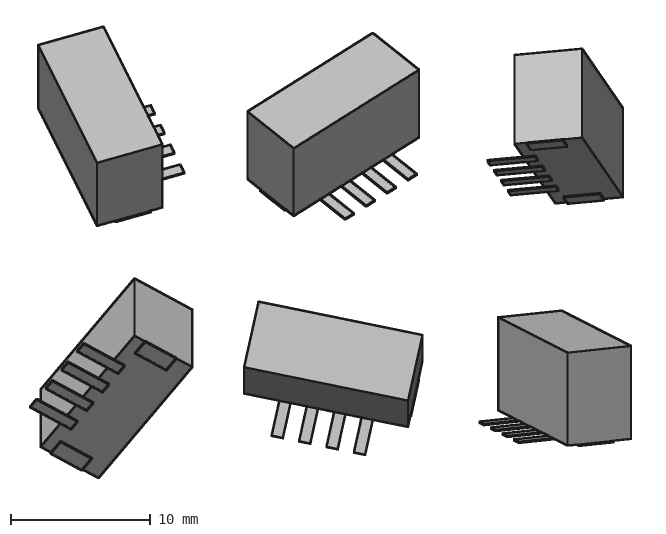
import cadquery as cq

overall_width = 12.08
overall_depth = 7.65
overall_height = 6.95

sheet_thickness = 0.1
housing_width = 12.0
housing_depth = 5.0
housing_height = overall_height - sheet_thickness

pad_width = 1.27
pad_depth = 2.69
pad_front = 1.41
pad_back = pad_front + pad_depth

pin_count = 4
pin_pitch = 2.0
pin_width = 0.83
pin_front = pad_back
pin_length = overall_depth - pin_front


def make_housing():
    """Block centred on X, with its front on Y = 0, resting on the sheet metal."""
    return cq.Workplane("XY").workplane(offset=sheet_thickness).box(
        housing_width, housing_depth, housing_height, centered=(True, False, False)
    )


def make_strip(center_x, front_y, width, length):
    """Flat sheet-metal strip lying on Z = 0."""
    return cq.Workplane("XY").center(center_x, front_y).box(
        width, length, sheet_thickness, centered=(True, False, False)
    )


def make_pad(side):
    """Mounting pad at the -X end (side = -1) or the +X end (side = 1)."""
    center_x = side * (overall_width - pad_width) / 2
    return make_strip(center_x, pad_front, pad_width, pad_depth)


def make_pin(index):
    """Contact pin at the given place in the row, which is centred on X = 0."""
    center_x = (index - (pin_count - 1) / 2) * pin_pitch
    return make_strip(center_x, pin_front, pin_width, pin_length)


housing = make_housing()
pads = [make_pad(side) for side in (-1, 1)]
pins = [make_pin(index) for index in range(pin_count)]

result = cq.Compound.makeCompound([
    housing.val(),
    *[pad.val() for pad in pads],
    *[pin.val() for pin in pins],
])